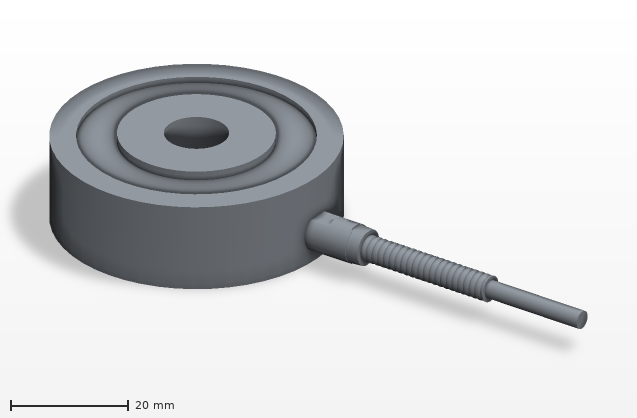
import cadquery as cq

overall_length = 105.2

body_diameter = 50.3
rim_height = 16.0
recess_diameter = 41.1
recess_depth = 1.2
boss_diameter = 27.2
boss_height = 16.5
bore_diameter = 11.2

body_radius = body_diameter / 2
cable_axis_height = 5.4
outlet_embedding = 2.1
outlet_start = body_radius - outlet_embedding
wrench_flat_end = 28.8
tip_flat_start = 33.0
sleeve_end = 33.4
tip_end = 35.7
relief_end = 61.0
cable_end = overall_length - body_radius

cable_diameter = 3.3
sleeve_diameter = 7.0
wrench_flat_width = 5.9
tip_base_diameter = 6.8
tip_end_diameter = 6.5
tip_flat_width = 6.3

relief_diameter = 4.7
relief_valley_diameter = 4.3
ring_count = 22
ring_start_overlap = 0.2
ring_end_overhang = 0.5
rings_start = tip_end - ring_start_overlap
rings_end = relief_end + ring_end_overhang
ring_pitch = (rings_end - rings_start) / ring_count


def disc(diameter, bottom, top):
    """Upright disc on the Z axis between two heights."""
    return cq.Workplane("XY").workplane(offset=bottom).circle(diameter / 2).extrude(top - bottom)


def rod(diameter, start, end):
    """Round rod on the X axis between two stations."""
    return cq.Workplane("YZ").workplane(offset=start).circle(diameter / 2).extrude(end - start)


def make_body():
    """Disc with a recessed top face, a raised central boss and a through bore."""
    body = disc(body_diameter, 0, rim_height)
    body = body.cut(disc(recess_diameter, rim_height - recess_depth, rim_height))
    body = body.union(disc(boss_diameter, 0, boss_height))
    return body.cut(disc(bore_diameter, 0, boss_height))


def cut_flats(shaft, start, end, width):
    """Cut two horizontal flats, `width` apart, into a shaft on the X axis."""
    length = end - start
    slab = cq.Workplane("XY").box(length, sleeve_diameter, sleeve_diameter)
    offset = (width + sleeve_diameter) / 2
    for side in (-1, 1):
        shaft = shaft.cut(slab.translate((start + length / 2, 0, side * offset)))
    return shaft


def make_fitting():
    """Sleeve and tapered tip on the X axis, with a pair of flats on each."""
    fitting = (
        cq.Workplane("XZ")
        .moveTo(outlet_start, 0)
        .lineTo(outlet_start, sleeve_diameter / 2)
        .lineTo(sleeve_end, sleeve_diameter / 2)
        .lineTo(sleeve_end, tip_base_diameter / 2)
        .lineTo(tip_end, tip_end_diameter / 2)
        .lineTo(tip_end, 0)
        .close()
        .revolve(360, (0, 0, 0), (1, 0, 0))
    )
    fitting = cut_flats(fitting, outlet_start, wrench_flat_end, wrench_flat_width)
    return cut_flats(fitting, tip_flat_start, tip_end, tip_flat_width)


def make_strain_relief():
    """Row of rounded rings on the X axis, trimmed square at the relief end."""
    valley_radius = relief_valley_diameter / 2
    profile = cq.Workplane("XZ").moveTo(rings_start, 0).lineTo(rings_start, valley_radius)
    for ring in range(ring_count):
        ring_start = rings_start + ring * ring_pitch
        profile = profile.threePointArc(
            (ring_start + ring_pitch / 2, relief_diameter / 2),
            (ring_start + ring_pitch, valley_radius),
        )
    profile = profile.lineTo(rings_end, 0).close()
    rings = profile.revolve(360, (0, 0, 0), (1, 0, 0))
    return rings.intersect(rod(sleeve_diameter, rings_start, relief_end))


def make_cable_outlet():
    """Fitting, strain relief and cable in line, raised to the cable height."""
    outlet = make_fitting().union(make_strain_relief())
    outlet = outlet.union(rod(cable_diameter, tip_end, cable_end))
    return outlet.translate((0, 0, cable_axis_height))


result = make_body().union(make_cable_outlet())